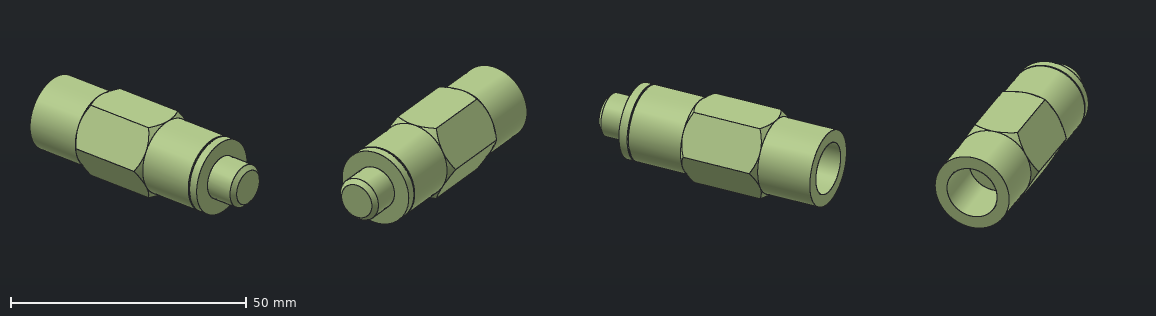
import cadquery as cq
import math

hex_start = 12.5
hex_end = 31.0
groove_start = 43.5
groove_end = 43.8
collar_end = 45.8
total_length = 53.0

body_diameter = 17.0
hex_across_flats = body_diameter
groove_diameter = 16.0
spigot_diameter = 9.73
spigot_chamfer = 1.0
bore_diameter = 11.45
bore_depth = hex_start

hex_across_corners = hex_across_flats / math.cos(math.radians(30))
hex_corner_chamfer = (hex_across_corners - hex_across_flats) / 2


def cylinder_x(diameter, start, end):
    """Round bar along X between two stations."""
    plane = cq.Workplane("YZ", origin=(start, 0, 0))
    return plane.circle(diameter / 2).extrude(end - start)


def hex_nut():
    """Hexagon with corners on +-Y, its corners bevelled at 45 degrees at both ends."""
    length = hex_end - hex_start
    plane = cq.Workplane("YZ", origin=(hex_start, 0, 0))
    prism = plane.polygon(6, hex_across_corners).extrude(length)
    bevel_envelope = (
        cylinder_x(hex_across_corners, hex_start, hex_end)
        .edges("%CIRCLE")
        .chamfer(hex_corner_chamfer)
    )
    return prism.intersect(bevel_envelope)


def grooved_body():
    """Round body with a narrow groove that sets off the end collar."""
    rear = cylinder_x(body_diameter, 0, groove_start)
    groove_core = cylinder_x(groove_diameter, groove_start, groove_end)
    collar = cylinder_x(body_diameter, groove_end, collar_end)
    return rear.union(groove_core).union(collar)


def spigot():
    """Plain round end pin with a chamfered tip."""
    return cylinder_x(spigot_diameter, collar_end, total_length).faces(">X").chamfer(spigot_chamfer)


bore = cylinder_x(bore_diameter, 0, bore_depth)

result = grooved_body().union(hex_nut()).union(spigot()).cut(bore)